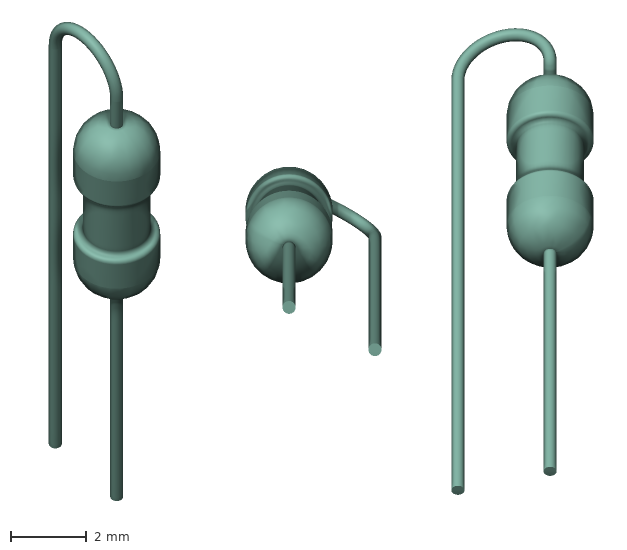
import cadquery as cq

total_height = 16.44
wire_diameter = 0.35
overall_width = 3.86
body_bottom = 7.97
body_length = 6.03
cap_diameter = 2.3
cap_length = 2.15
waist_diameter = 1.8
dome_radius = 1.0
shoulder_radius = 0.123

wire_radius = wire_diameter / 2
lead_spacing = overall_width - cap_diameter / 2 - wire_radius
bend_radius = lead_spacing / 2
bend_start = total_height - wire_radius - bend_radius
body_top = body_bottom + body_length


def make_body():
    """Domed caps joined by a narrower waist, each step rounded at its rim and its root."""
    rim_length = cap_length - shoulder_radius
    body = cq.Workplane("XY", origin=(0, 0, body_bottom)).circle(waist_diameter / 2).extrude(body_length)
    for cap_bottom in (body_bottom, body_top - rim_length):
        cap = cq.Workplane("XY", origin=(0, 0, cap_bottom)).circle(cap_diameter / 2).extrude(rim_length)
        body = body.union(cap)

    body = body.faces("<Z or >Z").edges().fillet(dome_radius)
    band = cq.selectors.BoxSelector(
        (-cap_diameter, -cap_diameter, body_bottom + dome_radius + shoulder_radius),
        (cap_diameter, cap_diameter, body_top - dome_radius - shoulder_radius),
        boundingbox=True,
    )
    return body.edges("%CIRCLE").edges(band).fillet(shoulder_radius)


def make_wire(x, bottom, top):
    """Straight vertical stretch of lead wire."""
    return cq.Workplane("XY", origin=(x, 0, bottom)).circle(wire_radius).extrude(top - bottom)


def make_bend():
    """Half-turn of wire from the body axis over to the return lead."""
    section = cq.Workplane("XY", origin=(0, 0, bend_start)).circle(wire_radius)
    return section.revolve(180, (-bend_radius, 0), (-bend_radius, -1))


lower_lead = make_wire(0, 0, body_bottom)
upper_lead = make_wire(0, body_top, bend_start)
return_lead = make_wire(-lead_spacing, 0, bend_start)

result = make_body().union(lower_lead).union(upper_lead).union(make_bend()).union(return_lead)